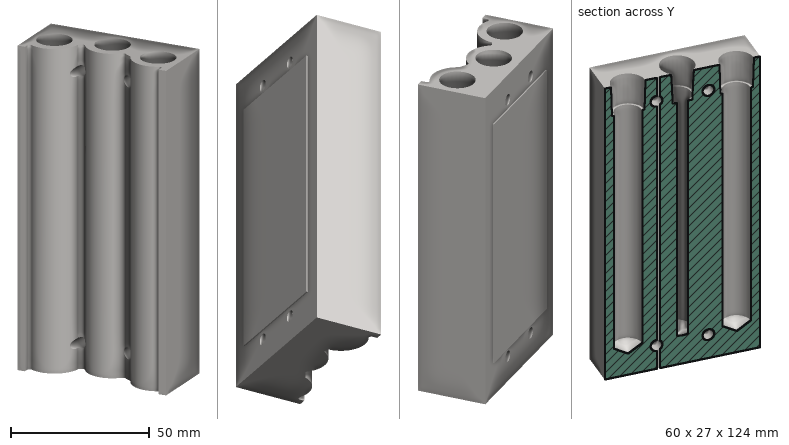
import cadquery as cq
import math

block_width = 60.0
block_depth = 26.5
block_length = 124.0
foot_width = 3.0
foot_inner_x = block_width / 2 - foot_width

lobe_diameter = 20.0
lobe_radius = lobe_diameter / 2
side_bore_x = 21.0
side_bore_y = -15.0
middle_bore_y = -10.0
bore_centres = [(-side_bore_x, side_bore_y), (0, middle_bore_y), (side_bore_x, side_bore_y)]

mouth_radius = 6.6
port_bottom_radius = 6.2
port_depth = 12.4
drill_radius = 5.3
drill_depth = 111.6
drill_point_angle = 118.0
drill_point_height = drill_radius / math.tan(math.radians(drill_point_angle / 2))

land_angle = math.radians(30)
mount_hole_diameter = 4.3
mount_hole_x = 10.0
mount_hole_z = 52.0
left_land_y = -15.1
right_land_y = -17.6
groove_fillet = 1.0

gasket_count = 6
gasket_pitch = 16.1
gasket_height = gasket_pitch
gasket_length = 46.6
gasket_thickness = 0.5


def land_height(side, hole_y, x):
    """Y of a land at x; the land rises from the side lobe towards the middle lobe."""
    return hole_y + (mount_hole_x - side * x) * math.tan(land_angle)


def land_corner(side, hole_y):
    """Point where a land meets the middle lobe."""
    rise = land_height(side, hole_y, 0) - middle_bore_y
    half_chord = math.sqrt(lobe_radius**2 - (rise * math.cos(land_angle)) ** 2)
    along = rise * math.sin(land_angle) + half_chord
    x = side * along * math.cos(land_angle)
    return x, land_height(side, hole_y, x)


def foot_corner(side):
    """Point where the inner wall of a foot meets the side lobe."""
    offset = foot_inner_x - side_bore_x
    return side * foot_inner_x, side_bore_y - math.sqrt(lobe_radius**2 - offset**2)


def make_front_hollow():
    """Space between the feet and around the lobes, with rounded groove bottoms."""
    hollow = (
        cq.Workplane("XY")
        .moveTo(-foot_inner_x, -block_depth)
        .lineTo(-foot_inner_x, side_bore_y)
        .lineTo(-side_bore_x, side_bore_y)
        .lineTo(-side_bore_x, land_height(-1, left_land_y, -side_bore_x))
        .lineTo(0, land_height(-1, left_land_y, 0))
        .lineTo(0, land_height(1, right_land_y, 0))
        .lineTo(side_bore_x, land_height(1, right_land_y, side_bore_x))
        .lineTo(side_bore_x, side_bore_y)
        .lineTo(foot_inner_x, side_bore_y)
        .lineTo(foot_inner_x, -block_depth)
        .close()
        .extrude(block_length / 2, both=True)
    )
    lobes = cq.Workplane("XY").pushPoints(bore_centres).circle(lobe_radius)
    hollow = hollow.cut(lobes.extrude(block_length / 2, both=True))
    groove_corners = [
        foot_corner(-1),
        land_corner(-1, left_land_y),
        land_corner(1, right_land_y),
        foot_corner(1),
    ]
    for x, y in groove_corners:
        corner_edge = cq.selectors.NearestToPointSelector((x, y, 0))
        hollow = hollow.edges("|Z").edges(corner_edge).fillet(groove_fillet)
    return hollow


def make_bore(centre):
    """Tapered port followed by a narrower drilled hole with a conical end, from the top face."""
    port = (
        cq.Workplane("XZ")
        .lineTo(mouth_radius, 0)
        .lineTo(port_bottom_radius, -port_depth)
        .lineTo(drill_radius, -port_depth)
        .lineTo(drill_radius, -drill_depth)
        .lineTo(0, -drill_depth - drill_point_height)
        .close()
        .revolve(360, (0, 0, 0), (0, 1, 0))
    )
    x, y = centre
    return port.translate((x, y, block_length / 2))


def make_block():
    """Grooved block with three blind bores and four through holes."""
    block = cq.Workplane("XY").box(block_width, block_depth, block_length)
    block = block.translate((0, -block_depth / 2, 0))
    block = block.cut(make_front_hollow())
    for centre in bore_centres:
        block = block.cut(make_bore(centre))
    mount_holes = (
        cq.Workplane("XZ")
        .rect(2 * mount_hole_x, 2 * mount_hole_z, forConstruction=True)
        .vertices()
        .circle(mount_hole_diameter / 2)
        .extrude(block_depth)
    )
    return block.cut(mount_holes)


def make_gasket(z):
    """Flat rectangular plate lying against the back face."""
    gasket = cq.Workplane("XZ").rect(gasket_length, gasket_height).extrude(-gasket_thickness)
    return gasket.translate((0, 0, z))


block = make_block()
first_gasket_z = -gasket_pitch * (gasket_count - 1) / 2
gaskets = [make_gasket(first_gasket_z + index * gasket_pitch) for index in range(gasket_count)]

result = cq.Compound.makeCompound([block.val(), *[gasket.val() for gasket in gaskets]])